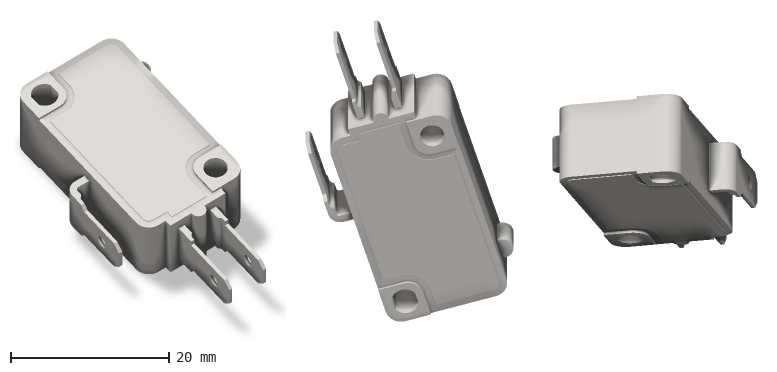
import cadquery as cq


case_length = 27.85
case_width = 15.9
corner_radius = 2.0
full_thickness = 10.3
rim_thickness = 9.6
panel_thickness = 9.8

pad_size = 5.37
mount_diameter = 3.1
mount_inset = 2.8
wide_mount_diameter = 3.48

border = 1.0

flange_depth = 1.0
flange_bottom = 3.15
flange_top = 11.85
bulge_radius = 1.03
bulge_offset = 0.08

plunger_width = 2.65
plunger_height = 1.75
plunger_x = 4.9
plunger_thickness = 4.2

tab_thickness = 0.5
tab_width = 4.75
tip_width = 2.73
tip_length = 1.05
tab_hole_diameter = 1.6
base_width = 6.32
terminal_z = 0.1

end_terminal_tip_x = 39.5
end_base_end_x = 31.5
end_base_thickness = 0.9
end_base_slope_start = 30.4
end_base_slope_end = 30.8
end_hole_x = 36.25
end_tip_relief = 0.05
upper_terminal_face = 10.3
lower_terminal_face = 4.45

common_x = 15.0
common_drop = 3.15
common_thickness = 1.0
common_bend_radius = 1.58
common_inner_radius = 0.4
common_slope_start = 17.2
common_slope_end = 17.65
common_taper_start = 18.5
common_taper_end = 19.15
common_tip_x = 26.45
common_hole_x = 22.85

overlap = 0.8


def block(x_start, x_end, y_start, y_end, thickness):
    """Box with the given X and Y limits, centred on mid thickness."""
    box = cq.Workplane("XY").box(x_end - x_start, y_end - y_start, thickness, centered=(False, False, True))
    return box.translate((x_start, y_start, 0))


def rounded_case(inset, thickness):
    """Case outline moved inwards by the inset, with rounded corners."""
    body = block(inset, case_length - inset, inset, case_width - inset, thickness)
    return body.edges("|Z").fillet(corner_radius - inset)


def pad_corners(margin):
    """Two diagonally opposite corner areas, grown by the margin on their inner sides."""
    size = pad_size + margin
    radius = corner_radius + margin
    lower = block(0, size, 0, size, full_thickness)
    lower = lower.edges("|Z and >X and >Y").fillet(radius)
    upper = block(case_length - size, case_length, case_width - size, case_width, full_thickness)
    upper = upper.edges("|Z and <X and <Y").fillet(radius)
    return lower.union(upper)


def raised_panel():
    """Centre panel, kept one border away from the case outline and from both pads."""
    panel = rounded_case(border, panel_thickness)
    extension = block(
        case_length / 2, case_length + flange_depth - border,
        flange_bottom + border, flange_top - border, panel_thickness,
    )
    return panel.union(extension).cut(pad_corners(border))


def mounting_holes():
    """Flat-sided hole in the lower pad and round hole in the upper pad."""
    half_height = mount_diameter / 2
    wide_hole = (
        cq.Workplane("XY").center(mount_inset, mount_inset)
        .circle(wide_mount_diameter / 2).extrude(full_thickness, both=True)
    )
    flats = block(0, pad_size, mount_inset - half_height, mount_inset + half_height, 2 * full_thickness)
    hole = (
        cq.Workplane("XY").center(case_length - mount_inset, case_width - mount_inset)
        .circle(half_height).extrude(full_thickness, both=True)
    )
    return wide_hole.intersect(flats).union(hole)


def case():
    pads = rounded_case(0, full_thickness).intersect(pad_corners(0))
    return rounded_case(0, rim_thickness).union(pads).union(raised_panel()).cut(mounting_holes())


def terminal_block():
    """Flange on the +X end with a round bulge in its middle."""
    end_x = case_length + flange_depth
    flange = block(case_length - overlap, end_x, flange_bottom, flange_top, rim_thickness)
    bulge = (
        cq.Workplane("XY").center(end_x + bulge_offset, (flange_bottom + flange_top) / 2)
        .circle(bulge_radius).extrude(rim_thickness / 2, both=True)
    )
    return flange.union(bulge)


def plunger():
    """Round-topped button on the +Y side."""
    radius = plunger_width / 2
    dome_y = case_width + plunger_height - radius
    return (
        cq.Workplane("XY").moveTo(plunger_x - radius, case_width - overlap)
        .lineTo(plunger_x - radius, dome_y)
        .threePointArc((plunger_x, dome_y + radius), (plunger_x + radius, dome_y))
        .lineTo(plunger_x + radius, case_width - overlap)
        .close().extrude(plunger_thickness / 2, both=True)
    )


def terminal(profile, start_x, base_end_x, tab_start_x, tip_x, hole_x):
    """Sheet profile in XY trimmed to the blade outline in XZ, with its hole."""
    outline = [
        (start_x, base_width / 2),
        (base_end_x, base_width / 2),
        (tab_start_x, tab_width / 2),
        (tip_x - tip_length, tab_width / 2),
        (tip_x, tip_width / 2),
    ]
    mirrored = [(x, -z) for x, z in reversed(outline)]
    reach = 2 * case_width
    blade = cq.Workplane("XZ").polyline(outline + mirrored).close().extrude(reach, both=True)
    hole = cq.Workplane("XZ").center(hole_x, 0).circle(tab_hole_diameter / 2).extrude(reach, both=True)
    solid = profile.extrude(base_width / 2, both=True).intersect(blade).cut(hole)
    return solid.translate((0, 0, terminal_z))


def end_terminal(face_y, inward):
    """Straight terminal; its outer face is at face_y and inward is the Y direction of its thickness."""
    start_x = case_length
    taper_x = end_terminal_tip_x - tip_length
    tab_y = face_y + inward * tab_thickness
    base_y = face_y + inward * end_base_thickness
    profile = cq.Workplane("XY").polyline([
        (start_x, face_y),
        (taper_x, face_y),
        (end_terminal_tip_x, face_y + inward * end_tip_relief),
        (end_terminal_tip_x, tab_y - inward * end_tip_relief),
        (taper_x, tab_y),
        (end_base_slope_end, tab_y),
        (end_base_slope_start, base_y),
        (start_x, base_y),
    ]).close()
    return terminal(profile, start_x, end_base_end_x, end_base_end_x, end_terminal_tip_x, end_hole_x)


def common_terminal():
    """Terminal that leaves the -Y side and bends towards +X."""
    inner_x = common_x + common_thickness
    inner_y = common_thickness - common_drop
    tab_y = tab_thickness - common_drop
    profile = (
        cq.Workplane("XY").moveTo(common_x, overlap)
        .lineTo(common_x, common_bend_radius - common_drop)
        .radiusArc((common_x + common_bend_radius, -common_drop), -common_bend_radius)
        .lineTo(common_tip_x, -common_drop)
        .lineTo(common_tip_x, tab_y)
        .lineTo(common_slope_end, tab_y)
        .lineTo(common_slope_start, inner_y)
        .lineTo(inner_x + common_inner_radius, inner_y)
        .radiusArc((inner_x, inner_y + common_inner_radius), common_inner_radius)
        .lineTo(inner_x, overlap)
        .close()
    )
    return terminal(profile, common_x, common_taper_start, common_taper_end, common_tip_x, common_hole_x)


result = (
    case()
    .union(terminal_block())
    .union(plunger())
    .union(end_terminal(upper_terminal_face, -1))
    .union(end_terminal(lower_terminal_face, 1))
    .union(common_terminal())
)